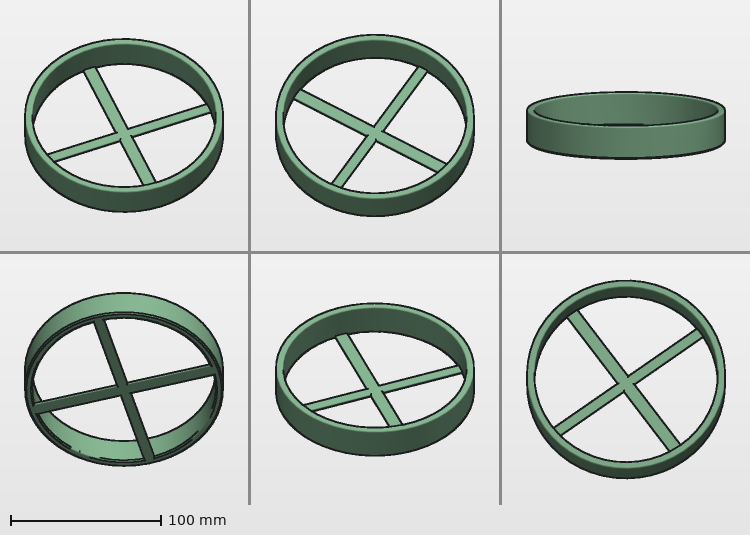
import cadquery as cq

outer_diameter = 132.0
inner_diameter = 122.0
ring_height = 22.0
ring_edge_radius = 1.0
ring_bottom_chamfer = 1.0

bar_thickness = 2.1
x_bar_width = 8.6
y_bar_width = 7.0
bar_edge_radius = 0.7

bar_length = (outer_diameter + inner_diameter) / 2


def make_ring():
    """Plain ring with rounded edges, and a chamfer around the outer bottom edge."""
    return (
        cq.Workplane("XY")
        .circle(outer_diameter / 2)
        .circle(inner_diameter / 2)
        .extrude(ring_height)
        .faces("<Z")
        .edges(cq.selectors.RadiusNthSelector(-1))
        .chamfer(ring_bottom_chamfer)
        .faces("<Z")
        .edges(cq.selectors.RadiusNthSelector(0))
        .fillet(ring_edge_radius)
        .faces(">Z")
        .edges()
        .fillet(ring_edge_radius)
    )


def make_bar(width):
    """Bar along X with its four long edges rounded."""
    return (
        cq.Workplane("XY")
        .box(bar_length, width, bar_thickness, centered=(True, True, False))
        .edges("|X")
        .fillet(bar_edge_radius)
    )


x_bar = make_bar(x_bar_width)
y_bar = make_bar(y_bar_width).rotate((0, 0, 0), (0, 0, 1), 90)

result = make_ring().union(x_bar).union(y_bar)